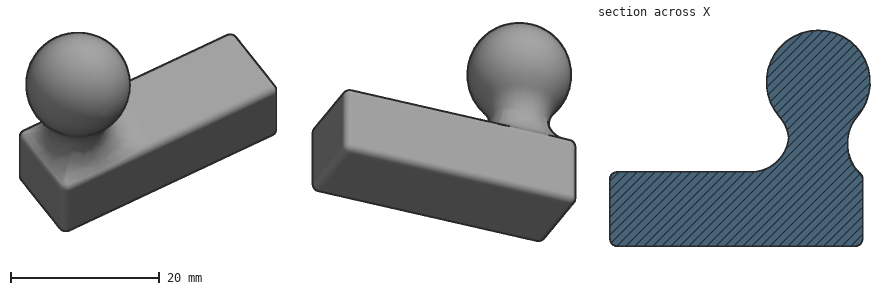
import cadquery as cq
import math

ball_radius = 7.0
bar_width = 12.0
bar_length = 34.0
bar_height = 10.0
edge_radius = 1.0
neck_radius = 4.0
neck_fillet = 5.0
core_inset = 0.005
edge_search_margin = 0.35
ball_overhang = 1.0
total_height = 29.0

ball_z = total_height - ball_radius
bar_front = -ball_radius + ball_overhang
arc_x = neck_radius + neck_fillet
arc_z = ball_z - math.sqrt((ball_radius + neck_fillet) ** 2 - arc_x**2)


def make_bar():
    """Rectangular bar with every edge rounded."""
    bar = cq.Workplane("XY").box(bar_width, bar_length, bar_height, centered=(True, False, False))
    return bar.edges().fillet(edge_radius).translate((0, bar_front, 0))


def add_neck_core(bar):
    """Round core from inside the bar to the ball centre, blended into the top of the bar."""
    core_start = bar_height / 2
    core = cq.Workplane("XY").workplane(offset=core_start).circle(neck_radius - core_inset)
    core = core.extrude(ball_z - core_start)
    reach = neck_radius + edge_search_margin
    corner = cq.selectors.BoxSelector(
        (-reach, -reach, bar_height - edge_search_margin),
        (reach, reach, bar_height + edge_search_margin),
    )
    return bar.union(core).edges("%CIRCLE").edges(corner).fillet(neck_fillet)


def make_ball_stud():
    """Ball with a concave throat running tangentially into the straight neck."""
    ball_share = ball_radius / (ball_radius + neck_fillet)
    tangent = (arc_x * ball_share, ball_z + (arc_z - ball_z) * ball_share)
    half_sweep = math.atan2(tangent[1] - arc_z, arc_x - tangent[0]) / 2
    throat_middle = (
        arc_x - neck_fillet * math.cos(half_sweep),
        arc_z + neck_fillet * math.sin(half_sweep),
    )
    profile = (
        cq.Workplane("XZ")
        .moveTo(0, bar_height)
        .lineTo(neck_radius, bar_height)
        .lineTo(neck_radius, arc_z)
        .threePointArc(throat_middle, tangent)
        .threePointArc((ball_radius, ball_z), (0, total_height))
        .close()
    )
    return profile.revolve(360, (0, 0, 0), (0, 1, 0))


result = add_neck_core(make_bar()).union(make_ball_stud())